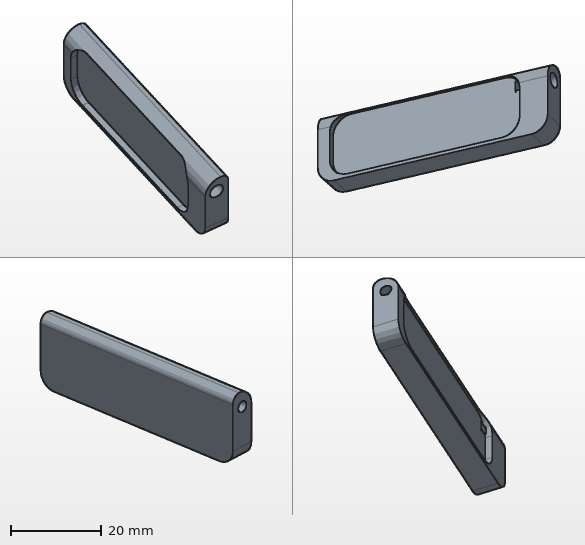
import cadquery as cq

length = 57.15
thickness = 6.15
height = 17.7
bottom_corner_radius = 4.0
front_round_radius = 4.1
back_round_radius = thickness - front_round_radius

pocket_left_margin = 2.95
pocket_right_margin = 6.9
pocket_top_margin = 1.25
pocket_bottom_margin = 0.85
pocket_corner_radius = 4.5
pocket_depth = 1.7

left_hole_diameter = 2.7
right_hole_diameter = 3.5
hole_from_front = 3.0
hole_from_top = 3.9
left_hole_depth = 2.5
right_hole_depth = 8.9


def make_bar():
    """Plate with rounded lower corners and a rounded top edge."""
    bar = cq.Workplane("XY").box(length, thickness, height, centered=(True, False, False))
    bar = bar.edges("|Y and <Z").fillet(bottom_corner_radius)
    return bar.intersect(make_top_profile())


def make_top_profile():
    """Prism along X whose section has two unequal quarter rounds meeting at the crest."""
    section = (
        cq.Workplane("YZ", origin=(-length / 2, 0, 0))
        .lineTo(thickness, 0)
        .lineTo(thickness, height - back_round_radius)
        .radiusArc((front_round_radius, height), -back_round_radius)
        .radiusArc((0, height - front_round_radius), -front_round_radius)
        .close()
    )
    return section.extrude(length)


def make_pocket():
    """Rounded rectangular pocket that cuts into the front top round."""
    pocket_length = length - pocket_left_margin - pocket_right_margin
    pocket_height = height - pocket_top_margin - pocket_bottom_margin
    pocket = cq.Workplane("XY").box(
        pocket_length, pocket_depth, pocket_height, centered=(False, False, False)
    )
    pocket = pocket.edges("|Y").fillet(pocket_corner_radius)
    return pocket.translate((pocket_left_margin - length / 2, 0, pocket_bottom_margin))


def make_end_hole(start_x, diameter, depth):
    """Cylinder along +X on the pivot axis."""
    return (
        cq.Workplane("YZ", origin=(start_x, hole_from_front, height - hole_from_top))
        .circle(diameter / 2)
        .extrude(depth)
    )


result = make_bar().cut(make_pocket())
result = result.cut(make_end_hole(-length / 2, left_hole_diameter, left_hole_depth))
right_hole_start = length / 2 - right_hole_depth
result = result.cut(make_end_hole(right_hole_start, right_hole_diameter, right_hole_depth))